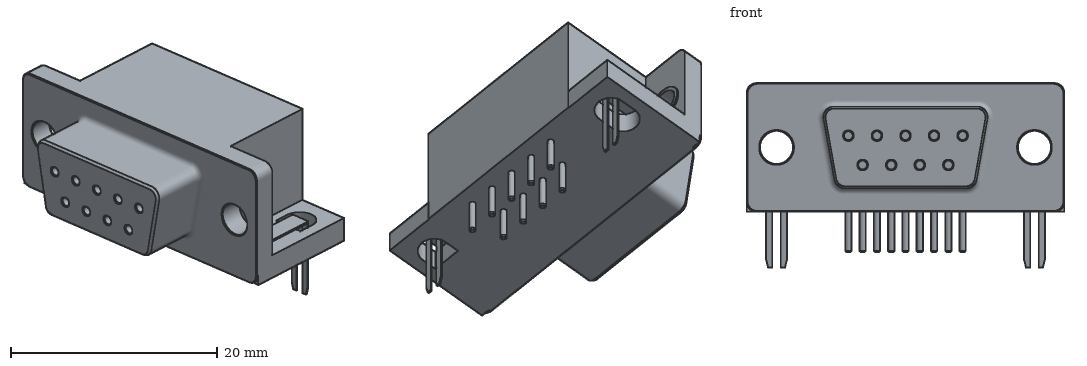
import cadquery as cq
import math


Y_DIRECTION = cq.Vector(0, 1, 0)

HOUSING_WIDTH = 30.8
HOUSING_HEIGHT = 12.5
HOUSING_BACK = 12.64
FLANGE_BACK = 2.3
FLANGE_CORNER_RADIUS = 1.0
BLOCK_WIDTH = 19.8
LEDGE_HEIGHT = 2.5
LEDGE_BACK = HOUSING_BACK - 0.05

SHELL_THICKNESS = 0.3
SHELL_EDGE_CHAMFER = 0.1

MOUNT_X = 12.5
MID_HEIGHT = HOUSING_HEIGHT / 2
MOUNT_HOLE_DIAMETER = 3.2
MOUNT_HOLE_CHAMFER = 0.1

PLUG_LENGTH = 6.1
PLUG_HEIGHT = 7.9
PLUG_TOP_WIDTH = 16.3
PLUG_SIDE_ANGLE = 10.0
PLUG_CORNER_RADIUS = 1.0
PLUG_ROOT_RADIUS = 0.58
PLUG_BEVELS = [(0.15, 0.08), (0.15, 0.12)]
ROOT_SEARCH = 0.01

CONTACT_PITCH = 2.77
ROW_SPACING = 2.84
UPPER_CONTACT_COUNT = 5
LOWER_CONTACT_COUNT = 4
UPPER_ROW_Z = 7.39
SOCKET_DIAMETER = 0.85
SOCKET_CHAMFER = 0.1
SOCKET_DEPTH = 5.0
PIN_DIAMETER = 0.64
PIN_LENGTH = 3.9
PIN_TIP_CHAMFER = 0.14
UPPER_ROW_PIN_Y = HOUSING_BACK - 1.79
PIN_EMBEDMENT = 1.0

SLOT_WIDTH = 3.2
SLOT_BACK_CENTER_Y = HOUSING_BACK - 3.25
SLOT_FRONT_CENTER_Y = HOUSING_BACK - 4.9

LOCK_THICKNESS = 0.18
LOCK_TOP = LEDGE_HEIGHT + LOCK_THICKNESS
LOCK_WIDTH = 2.05
LOCK_DISC_DIAMETER = 4.0
LOCK_STRIP_STANDOFF = 0.06
LOCK_STRIP_TOP = 4.65
LOCK_BACK_Y = HOUSING_BACK - 3.14
PRONG_LENGTH = 5.4
PRONG_WIDTH = 0.62
PRONG_TAPER_LENGTH = 0.8
PRONG_TAPER_INSET = 0.2


def block(x_size, y_range, z_range, x_center=0.0):
    """Axis-aligned block given by its X size and its Y and Z limits."""
    y_size = y_range[1] - y_range[0]
    z_size = z_range[1] - z_range[0]
    corner = (x_center - x_size / 2, y_range[0], z_range[0])
    return cq.Workplane("XY").box(x_size, y_size, z_size, centered=False).translate(corner)


def cylinder_along_y(diameter, x, z, y_start, y_end):
    """Cylinder along Y between two Y positions."""
    start = cq.Vector(x, y_start, z)
    return cq.Workplane(cq.Solid.makeCylinder(diameter / 2, y_end - y_start, start, Y_DIRECTION))


def chamfered_hole(diameter, chamfer, x, z, y_face, y_end):
    """Cutter for a hole along Y whose mouth, at y_face, is chamfered."""
    radius = diameter / 2
    start = cq.Vector(x, y_face, z)
    mouth = cq.Solid.makeCone(radius + chamfer, radius, chamfer, start, Y_DIRECTION)
    return cylinder_along_y(diameter, x, z, y_face, y_end).union(cq.Workplane(mouth))


def make_housing():
    flange = block(HOUSING_WIDTH, (SHELL_THICKNESS, FLANGE_BACK), (0, HOUSING_HEIGHT))
    flange = flange.edges("|Y and >Z").fillet(FLANGE_CORNER_RADIUS)
    main_block = block(BLOCK_WIDTH, (SHELL_THICKNESS, HOUSING_BACK), (0, HOUSING_HEIGHT))
    ledges = block(HOUSING_WIDTH, (SHELL_THICKNESS, LEDGE_BACK), (0, LEDGE_HEIGHT))
    return flange.union(main_block).union(ledges)


def make_shell_plate():
    plate = block(HOUSING_WIDTH, (0, SHELL_THICKNESS), (0, HOUSING_HEIGHT))
    plate = plate.edges("|Y").fillet(FLANGE_CORNER_RADIUS)
    return plate.faces("<Y").chamfer(SHELL_EDGE_CHAMFER)


def make_plug():
    """Rounded D-shaped plug whose front edge is bevelled in steps that grow steeper."""
    half_height = PLUG_HEIGHT / 2
    half_top = PLUG_TOP_WIDTH / 2
    half_bottom = half_top - PLUG_HEIGHT * math.tan(math.radians(PLUG_SIDE_ANGLE))
    corners = [
        (-half_bottom, -half_height),
        (half_bottom, -half_height),
        (half_top, half_height),
        (-half_top, half_height),
    ]
    straight_length = PLUG_LENGTH - sum(length for length, _ in PLUG_BEVELS)
    plane = cq.Workplane("XZ", origin=(0, SHELL_THICKNESS, MID_HEIGHT))
    plug = plane.polyline(corners).close().extrude(SHELL_THICKNESS + straight_length)
    plug = plug.edges("|Y").fillet(PLUG_CORNER_RADIUS)
    for length, inset in PLUG_BEVELS:
        taper = math.degrees(math.atan2(inset, length))
        plug = plug.faces("<Y").wires().toPending().extrude(length, taper=taper)
    return plug


def make_shell_and_plug():
    """Shell plate with the plug blended into its front face."""
    half_zone_height = PLUG_HEIGHT / 2 + ROOT_SEARCH
    root_zone = cq.selectors.BoxSelector(
        (-PLUG_TOP_WIDTH / 2, -ROOT_SEARCH, MID_HEIGHT - half_zone_height),
        (PLUG_TOP_WIDTH / 2, ROOT_SEARCH, MID_HEIGHT + half_zone_height),
    )
    return make_shell_plate().union(make_plug()).edges(root_zone).fillet(PLUG_ROOT_RADIUS)


def contact_positions():
    """Yield (x, socket z, pin y) for every contact of both rows."""
    rows = [
        (UPPER_CONTACT_COUNT, UPPER_ROW_Z, UPPER_ROW_PIN_Y),
        (LOWER_CONTACT_COUNT, UPPER_ROW_Z - ROW_SPACING, UPPER_ROW_PIN_Y - ROW_SPACING),
    ]
    for count, socket_z, pin_y in rows:
        for index in range(count):
            yield (index - (count - 1) / 2) * CONTACT_PITCH, socket_z, pin_y


def make_pin(x, y):
    pin = cq.Workplane("XY").circle(PIN_DIAMETER / 2).extrude(PIN_LENGTH + PIN_EMBEDMENT)
    pin = pin.faces("<Z").chamfer(PIN_TIP_CHAMFER)
    return pin.translate((x, y, -PIN_LENGTH))


def slot_cutter(x, round_front):
    """Slot through a ledge: round at the back, and round or square at the front."""
    radius = SLOT_WIDTH / 2
    z_range = (0, LEDGE_HEIGHT)
    cutter = block(SLOT_WIDTH, (SLOT_FRONT_CENTER_Y, SLOT_BACK_CENTER_Y), z_range, x)
    end_centers = [(x, SLOT_BACK_CENTER_Y)]
    if round_front:
        end_centers.append((x, SLOT_FRONT_CENTER_Y))
    ends = cq.Workplane("XY").pushPoints(end_centers).circle(radius).extrude(LEDGE_HEIGHT)
    return cutter.union(ends)


def make_prong(x, side):
    """One prong of a board lock, tapered on its outer edge at the tip; side is -1 or +1."""
    outer = x + side * LOCK_WIDTH / 2
    inner = outer - side * PRONG_WIDTH
    tip_outer = outer - side * PRONG_TAPER_INSET
    taper_start_z = PRONG_TAPER_LENGTH - PRONG_LENGTH
    outline = [
        (inner, LOCK_TOP),
        (inner, -PRONG_LENGTH),
        (tip_outer, -PRONG_LENGTH),
        (outer, taper_start_z),
        (outer, LOCK_TOP),
    ]
    plane = cq.Workplane("XZ", origin=(0, LOCK_BACK_Y, 0))
    return plane.polyline(outline).close().extrude(LOCK_THICKNESS)


def make_board_lock(x):
    """Bent strip with a disc around the mounting hole and two prongs reaching down."""
    strip_back = FLANGE_BACK + LOCK_STRIP_STANDOFF + LOCK_THICKNESS
    disc_back = FLANGE_BACK + LOCK_THICKNESS
    disc = cylinder_along_y(LOCK_DISC_DIAMETER, x, MID_HEIGHT, FLANGE_BACK, disc_back)
    upright = block(LOCK_WIDTH, (FLANGE_BACK, strip_back), (LEDGE_HEIGHT, LOCK_STRIP_TOP), x)
    foot = block(LOCK_WIDTH, (FLANGE_BACK, LOCK_BACK_Y), (LEDGE_HEIGHT, LOCK_TOP), x)
    lock = disc.union(upright).union(foot)
    for side in (-1, 1):
        lock = lock.union(make_prong(x, side))
    return lock


def make_connector():
    part = make_housing().union(make_shell_and_plug())
    mating_y = -PLUG_LENGTH
    socket_end = mating_y + SOCKET_DEPTH
    for x, socket_z, pin_y in contact_positions():
        socket = chamfered_hole(SOCKET_DIAMETER, SOCKET_CHAMFER, x, socket_z, mating_y, socket_end)
        part = part.cut(socket).union(make_pin(x, pin_y))
    mount_hole_end = FLANGE_BACK + LOCK_THICKNESS
    for x in (-MOUNT_X, MOUNT_X):
        part = part.cut(slot_cutter(x, round_front=x < 0)).union(make_board_lock(x))
        mount_hole = chamfered_hole(
            MOUNT_HOLE_DIAMETER, MOUNT_HOLE_CHAMFER, x, MID_HEIGHT, 0, mount_hole_end
        )
        part = part.cut(mount_hole)
    return part


result = make_connector()